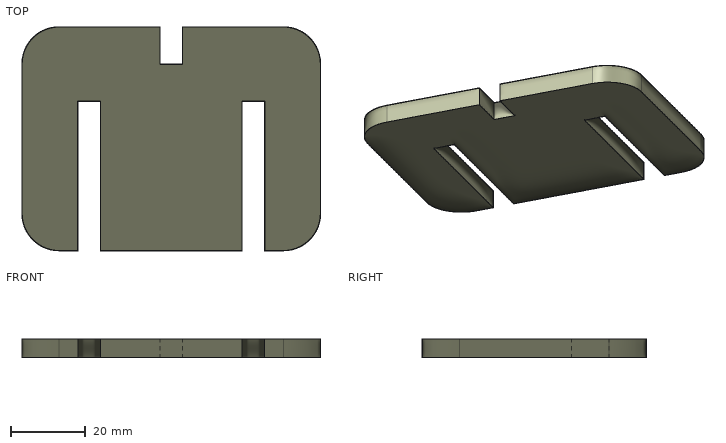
import cadquery as cq

length = 80.0
width = 60.0
corner_radius = 10.0
thickness = corner_radius / 2

slot_width = 6.0
slot_depth = 40.0
notch_depth = 10.0
tongue_width = 38.0

slot_offset = (tongue_width + slot_width) / 2


def edge_cut(x, depth, side):
    """Square-ended cut at x, running in from the front (-1) or back (+1) edge."""
    y = side * (width - depth) / 2
    return (
        cq.Workplane("XY")
        .center(x, y)
        .rect(slot_width, depth)
        .extrude(thickness)
    )


result = (
    cq.Workplane("XY")
    .rect(length, width)
    .extrude(thickness)
    .edges("|Z")
    .fillet(corner_radius)
)

for x in (-slot_offset, slot_offset):
    result = result.cut(edge_cut(x, slot_depth, -1))

result = result.cut(edge_cut(0, notch_depth, 1))